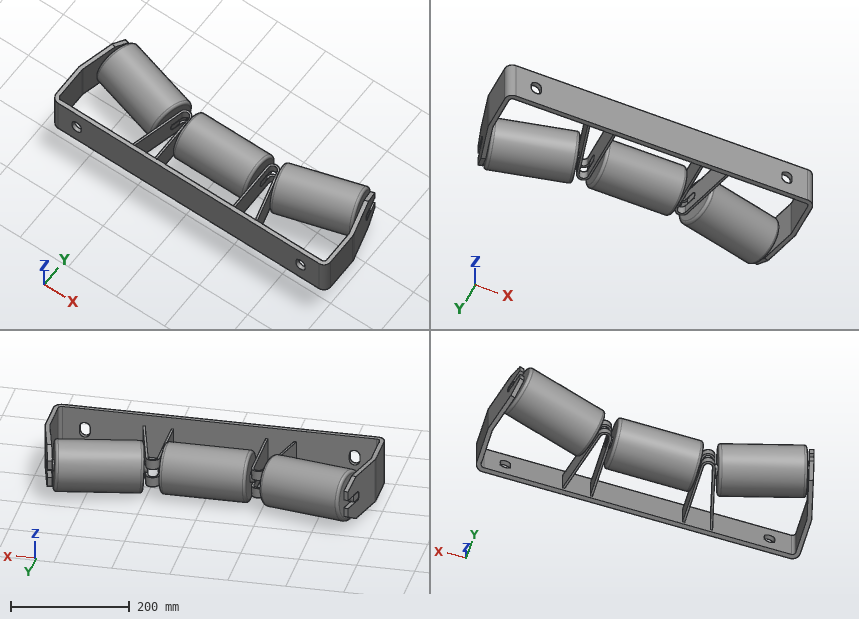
import cadquery as cq
import math

outer_angle = 15.0
roller_tilt = 2.5
lean_sin = math.sin(math.radians(outer_angle))
lean_cos = math.cos(math.radians(outer_angle))
axis_dir = cq.Vector(lean_cos, -lean_sin, 0)
arm_dir = cq.Vector(lean_sin, lean_cos, 0)
upright_dir = cq.Vector(0, 1, 0)
middle_dir = cq.Vector(1, 0, 0)

frame_length = 570.0
frame_height = 80.0
plate = 8.0
bend_inner = 6.0
bend_outer = bend_inner + plate
arm_bend_y = 79.0
arm_length = 101.0
tip_bevel_along = 29.0
tip_bevel_z = 16.0
mount_spacing = 465.0
mount_width = 18.0
mount_height = 27.5

leg = 4.0
hairpin_height = 50.0
hairpin_outer = 12.0
hairpin_inner = hairpin_outer - leg
hairpin_x = 91.0
hairpin_y = 115.0

roller_length = 150.0
roller_radius = 44.5
roller_fillet = 5.0
roller_gap = 4.3
shaft_radius = 9.5
shaft_flats = 13.5
shaft_recess = 0.5
shoulder = 3.5
middle_y = 101.0
middle_z = -6.0
outer_across = 73.5

slot_height = 15.5
slot_clearance = 0.5
slot_radius = shaft_radius + slot_clearance

arm_corner = cq.Vector(-frame_length / 2, arm_bend_y, 0)
hairpin_centre = cq.Vector(-hairpin_x, hairpin_y, 0)
half_roller = roller_length / 2
hairpin_reach = half_roller + roller_gap + leg
outer_along = hairpin_centre.dot(axis_dir) - hairpin_outer - roller_gap - half_roller
arm_reach = outer_along - arm_corner.dot(axis_dir) - shaft_recess
outer_centre = axis_dir * outer_along + arm_dir * outer_across
outer_z = middle_z + half_roller * math.sin(math.radians(roller_tilt))


def mirrored(body):
    """Copy of a left body on the right side."""
    return body.mirror("YZ")


def slot_cutter(origin, normal, along, centre_along, centre_z, open_along, depth):
    """Open slot with a rounded end, cut from origin along normal."""
    half = slot_height / 2
    arc_start = centre_along - math.sqrt(slot_radius**2 - half**2)
    return (
        cq.Workplane(cq.Plane(origin, along, normal))
        .moveTo(open_along, centre_z + half)
        .lineTo(arc_start, centre_z + half)
        .threePointArc((centre_along - slot_radius, centre_z), (arc_start, centre_z - half))
        .lineTo(open_along, centre_z - half)
        .close()
        .extrude(depth)
    )


def make_frame():
    tip = arm_corner + arm_dir * arm_length
    inner_tip = tip + axis_dir * plate
    inner_x = arm_corner.x + plate
    inner_bend_y = arm_bend_y - plate * math.tan(math.radians(outer_angle / 2))
    outline = [
        (0, 0),
        (arm_corner.x, 0),
        (arm_corner.x, arm_bend_y),
        (tip.x, tip.y),
        (inner_tip.x, inner_tip.y),
        (inner_x, inner_bend_y),
        (inner_x, plate),
        (0, plate),
    ]
    half = (
        cq.Workplane("XY", origin=(0, 0, -frame_height / 2))
        .polyline(outline)
        .close()
        .extrude(frame_height)
    )
    for x, y, radius in [
        (arm_corner.x, 0, bend_outer),
        (arm_corner.x, arm_bend_y, bend_outer),
        (inner_x, inner_bend_y, bend_inner),
        (inner_x, plate, bend_inner),
    ]:
        half = half.edges(cq.selectors.NearestToPointSelector((x, y, 0))).fillet(radius)

    arm_plane = cq.Plane(arm_corner, arm_dir, axis_dir)
    for side in (1, -1):
        bevel = (
            cq.Workplane(arm_plane)
            .polyline([
                (arm_length, side * frame_height / 2),
                (arm_length - tip_bevel_along, side * frame_height / 2),
                (arm_length, side * (frame_height / 2 - tip_bevel_z)),
            ])
            .close()
            .extrude(plate)
        )
        half = half.cut(bevel)

    slot_along = outer_across - arm_corner.dot(arm_dir)
    half = half.cut(slot_cutter(arm_corner, axis_dir, arm_dir, slot_along, 0, arm_length, plate))

    mount = (
        cq.Workplane("XZ")
        .center(-mount_spacing / 2, 0)
        .slot2D(mount_height, mount_width, 90)
        .extrude(-plate)
    )
    half = half.cut(mount)
    return half.union(mirrored(half))


def make_hairpin():
    def on_bend(radius, angle):
        turn = math.radians(angle)
        return (-hairpin_x + radius * math.cos(turn), hairpin_y + radius * math.sin(turn))

    def foot_below(point):
        drop = point[1] - plate
        return (point[0] - drop * math.tan(math.radians(outer_angle)), plate)

    slanted_end = 180 - outer_angle
    bend_top = slanted_end / 2
    outer_start = on_bend(hairpin_outer, slanted_end)
    inner_start = on_bend(hairpin_inner, slanted_end)
    body = (
        cq.Workplane("XY", origin=(0, 0, middle_z - hairpin_height / 2))
        .moveTo(*foot_below(outer_start))
        .lineTo(*outer_start)
        .threePointArc(on_bend(hairpin_outer, bend_top), on_bend(hairpin_outer, 0))
        .lineTo(-hairpin_x + hairpin_outer, plate)
        .lineTo(-hairpin_x + hairpin_inner, plate)
        .lineTo(*on_bend(hairpin_inner, 0))
        .threePointArc(on_bend(hairpin_inner, bend_top), inner_start)
        .lineTo(*foot_below(inner_start))
        .close()
        .extrude(hairpin_height)
    )
    for normal, along, centre, depth in [
        (axis_dir, arm_dir, outer_across - hairpin_centre.dot(arm_dir), -hairpin_outer),
        (middle_dir, upright_dir, middle_y - hairpin_y, hairpin_outer),
    ]:
        body = body.cut(
            slot_cutter(hairpin_centre, normal, along, centre, middle_z, hairpin_outer, depth)
        )
    return body


def make_roller(left_reach, right_reach):
    """Roller along X about the origin, with a flatted shaft end on each side."""
    body = (
        cq.Workplane("YZ", origin=(-half_roller, 0, 0))
        .circle(roller_radius)
        .extrude(roller_length)
        .edges()
        .fillet(roller_fillet)
    )
    half_shoulder = half_roller + shoulder
    round_shaft = (
        cq.Workplane("YZ", origin=(-half_shoulder, 0, 0))
        .circle(shaft_radius)
        .extrude(2 * half_shoulder)
    )
    flat_shaft = (
        cq.Workplane("YZ", origin=(-left_reach, 0, 0))
        .circle(shaft_radius)
        .extrude(left_reach + right_reach)
        .intersect(cq.Workplane("XY").box(frame_length, 2 * shaft_radius, shaft_flats))
    )
    return body.union(round_shaft).union(flat_shaft)


def make_outer_roller():
    return (
        make_roller(arm_reach, hairpin_reach)
        .rotate((0, 0, 0), (0, 1, 0), roller_tilt)
        .rotate((0, 0, 0), (0, 0, 1), -outer_angle)
        .translate((outer_centre.x, outer_centre.y, outer_z))
    )


frame = make_frame()
middle_roller = make_roller(hairpin_reach, hairpin_reach).translate((0, middle_y, middle_z))

left_hairpin = make_hairpin()
left_roller = make_outer_roller()
side_bodies = []
for left_body in (left_hairpin, left_roller):
    side_bodies += [left_body.val(), mirrored(left_body).val()]

result = cq.Compound.makeCompound([frame.val(), middle_roller.val(), *side_bodies])